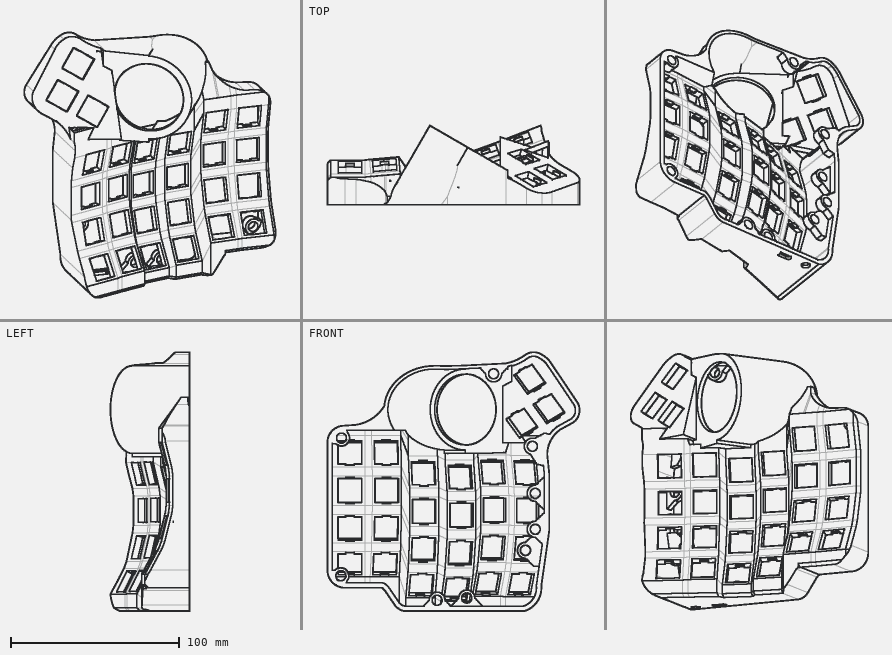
import cadquery as cq
import math


depth = 47.1
wall = 3.0
plate = 4.0
edge_chamfer = 2.0
flatness = 1e-6
overlap = 1.0
beyond = 200.0

key_window = 14.0
key_land = 17.5
clip_width = 5.0
clip_depth = 0.8
clip_skin = 1.5
row_step = 14.0
row_radius = 89.5
top_land_growth = 1.8
top_land_loss = 1.5
bottom_land_loss = 0.6
row_steps = (1, 0, -1, -2)

columns = (
    (13.4, 12.0, 71.6, 0.0, 127.0),
    (34.9, 13.2, 71.6, 5.0, 127.0),
    (56.9, 10.2, 59.2, 9.0, 110.0),
    (78.6, 10.7, 57.0, 15.0, 96.8),
    (97.9, 20.6, 60.0, 20.0, 94.0),
    (117.5, 28.0, 59.7, 21.0, 104.0),
)
low_columns = 2
slope_start = 108.5
slope_end_y = 5.0
left_bottom_z = 13.8
step_position = -0.1
right_wall_x = 131.7
grid_top_z = 107.3

socket_tilt = 30.0
socket_radius = 26.0
socket_cap = 3.0
ball_hole = 42.0
socket_length = 90.0
cap_x = 83.3
cap_z = 119.6
cap_y = depth - socket_radius * math.sin(math.radians(socket_tilt))
socket_upper = 30.0
socket_lower = 28.0
socket_wall = 2.0
socket_end_x = 107.0

thumb_keys = ((120.8, 138.9, -8.0), (132.2, 121.4, -8.0), (116.5, 113.0, 0.0))
thumb_turn = 36.0
thumb_origin = (120.0, 15.8, 138.3)
thumb_fall_x = 0.328
thumb_fall_z = 0.46
thumb_left_x = 102.5
thumb_left_wall = 1.5
thumb_bottom_z = 97.5
thumb_wall = 2.5

ears = (
    (8.4, 102.7, 0.0, 6.0, 135),
    (8.0, 21.0, 0.0, 6.0, 225),
    (65.1, 6.5, 0.0, 5.0, 270),
    (82.7, 7.8, 4.0, 5.0, 270),
    (123.3, 69.9, 4.5, 5.0, 0),
    (123.3, 48.6, 0.0, 5.0, 0),
    (117.5, 36.1, 4.7, 5.0, 0),
    (121.6, 97.8, 0.0, 5.0, 345),
    (98.6, 140.8, 0.0, 6.0, 90),
)
ear_radius = 4.8
ear_hole = 5.9
web_length = 12.0
web_flare_end = 5.0
web_half_width = 9.5

port_y = 5.6
slot_x = 95.5
slot_length = 9.7
slot_width = 3.5
jack_x = 111.4
jack_hole = 5.2
panel_x = (72.5, 118.0)
panel_y = (2.0, 10.0)
panel_depth = 1.0


def outline():
    """Closed wall outline on the base plane, X to the right and Z up."""
    return (
        cq.Workplane("XZ")
        .moveTo(0, 24.7)
        .lineTo(0, 101)
        .threePointArc((3, 107.2), (10.2, 110.1))
        .lineTo(17, 110.6)
        .threePointArc((28.1, 115.4), (34.3, 122.7))
        .threePointArc((43.6, 138.7), (60.2, 145.6))
        .lineTo(71, 145.3)
        .lineTo(105.8, 147)
        .threePointArc((112.6, 149.2), (118.0, 152.5))
        .threePointArc((122.6, 153.67), (127.2, 152.2))
        .threePointArc((130.4, 149.9), (133.0, 146.7))
        .lineTo(148.3, 123.9)
        .threePointArc((149.23, 116.5), (144.6, 111.2))
        .lineTo(137.9, 107.5)
        .threePointArc((132.4, 101), (130.5, 92.5))
        .lineTo(right_wall_x, 81.4)
        .lineTo(right_wall_x, 48)
        .lineTo(127.0, 15.2)
        .threePointArc((123.7, 4.6), (116.9, 0))
        .lineTo(46, 0)
        .threePointArc((42.7, 1.1), (39.9, 3.7))
        .lineTo(33.9, 12.5)
        .lineTo(32.4, left_bottom_z)
        .lineTo(10.9, left_bottom_z)
        .threePointArc((3, 17), (0, 24.7))
        .close()
    )


def prism(inset=0.0):
    """Outline moved inwards by inset and raised over the full depth."""
    profile = outline()
    if inset:
        profile = profile.offset2D(-inset)
    return profile.extrude(-(depth + overlap))


def box(x0, x1, y0, y1, z0, z1):
    return cq.Workplane("XY").box(x1 - x0, y1 - y0, z1 - z0, centered=False).translate((x0, y0, z0))


def key_frame(column, step):
    """Centre, sideways, upward and outward vectors of one key on the plate's outer face."""
    x, y, z, tilt, _ = column
    tilt = math.radians(tilt)
    lean = math.radians(row_step * step)
    side = cq.Vector(math.cos(tilt), math.sin(tilt), 0)
    out = cq.Vector(-math.sin(tilt), math.cos(tilt), 0)
    up = cq.Vector(0, 0, 1)
    centre = cq.Vector(x, y, z)
    centre = centre + up * (row_radius * math.sin(lean)) + out * (row_radius * (1 - math.cos(lean)))
    normal = out * math.cos(lean) - up * math.sin(lean)
    rise = up * math.cos(lean) + out * math.sin(lean)
    return centre, side, rise, normal


def column_line(index, across, bottom_z, below, bevel):
    """Roof points, top to bottom, along one line of a column.

    The line lies across * half a land from the column's middle and below under the outer face.
    """
    column = columns[index]
    half = key_land / 2
    points = []
    for step in row_steps:
        centre, side, rise, normal = key_frame(column, step)
        upper = half
        lower = half
        if step == row_steps[0]:
            upper += top_land_growth if below else -top_land_loss
        if below and step == row_steps[-1]:
            lower -= bottom_land_loss
        edge = centre + side * (across * half) - normal * below
        points.append(edge + rise * upper)
        points.append(edge - rise * lower)
    first = points[0]
    last = points[-1]
    top_z = column[4]
    if index < low_columns:
        head = [
            cq.Vector(first.x, slope_end_y, top_z),
            cq.Vector(first.x, first.y, slope_start),
        ]
    else:
        head = [
            cq.Vector(first.x, first.y, top_z),
            cq.Vector(first.x, first.y, (first.z + top_z) / 2),
        ]
    tail = [
        cq.Vector(last.x, last.y, bottom_z + edge_chamfer),
        cq.Vector(last.x, last.y - bevel, bottom_z),
        cq.Vector(last.x, last.y - bevel, bottom_z - overlap),
    ]
    return head + points + tail


def roof_grid(below, bevel):
    """All column edge lines from left to right, with margins out to the side walls."""
    lines = []
    for index in range(len(columns)):
        left_z = left_bottom_z if index < low_columns else 0
        right_z = left_bottom_z if index < low_columns - 1 else 0
        lines.append(column_line(index, -1, left_z, below, bevel))
        if left_z != right_z:
            lines.append(column_line(index, step_position, left_z, below, bevel))
            lines.append(column_line(index, 0, right_z, below, bevel))
        lines.append(column_line(index, 1, right_z, below, bevel))
    left = lines[0]
    shoulder = [cq.Vector(edge_chamfer, p.y, p.z) for p in left]
    rim = [cq.Vector(0, p.y - bevel, p.z) for p in left]
    outside = [cq.Vector(-overlap, p.y - bevel, p.z) for p in left]
    right = lines[-1]
    margin = right_wall_x + overlap - max(p.x for p in right)
    climb = margin * math.tan(math.radians(columns[-1][3]))
    far = [cq.Vector(p.x + margin, p.y + climb, p.z) for p in right]
    return [outside, rim, shoulder] + lines + [far]


def flat_face(points):
    return cq.Face.makeFromWires(cq.Wire.makePolygon(points, close=True))


def cell_face(a, b, c, d):
    """One roof cell: a single face if its corners are coplanar, otherwise a ruled surface."""
    twist = (b - a).cross(c - a).dot(d - a)
    if abs(twist) < flatness:
        return flat_face([a, b, c, d])
    return cq.Face.makeRuledSurface(cq.Edge.makeLine(a, b), cq.Edge.makeLine(d, c))


def block_under(grid):
    """Solid between a grid of roof points and the base plane."""
    faces = []
    for left, right in zip(grid, grid[1:]):
        for i in range(len(left) - 1):
            faces.append(cell_face(left[i], left[i + 1], right[i + 1], right[i]))
    rim = list(grid[0])
    rim += [line[-1] for line in grid[1:]]
    rim += list(reversed(grid[-1]))[1:]
    rim += [line[0] for line in reversed(grid[1:-1])]
    feet = [cq.Vector(p.x, 0, p.z) for p in rim]
    for i in range(len(rim)):
        j = (i + 1) % len(rim)
        faces.append(flat_face([rim[i], rim[j], feet[j], feet[i]]))
    faces.append(flat_face(feet))
    return cq.Workplane(obj=cq.Solid.makeSolid(cq.Shell.makeShell(faces)))


def socket_cylinder(radius, start, end):
    """Leaning cylinder; start and end are measured down from the cap's outer face."""
    lean = math.radians(socket_tilt)
    axis = cq.Vector(math.sin(lean), math.cos(lean), 0)
    base = cq.Vector(cap_x, cap_y, cap_z) - axis * end
    return cq.Workplane(obj=cq.Solid.makeCylinder(radius, end - start, base, axis))


def socket_roof(inset, below, end_x):
    """Block right of the socket axis under a plane parallel to the cap."""
    fall = math.tan(math.radians(socket_tilt))
    drop = below / math.cos(math.radians(socket_tilt))
    top_x = cap_x - below * math.sin(math.radians(socket_tilt))
    top_y = cap_y - drop + (cap_x - top_x) * fall
    foot_x = top_x - top_y * fall
    end_y = top_y - (end_x - top_x) * fall
    return (
        cq.Workplane("XY")
        .polyline([(foot_x, 0), (top_x, top_y), (end_x, end_y), (end_x, 0)])
        .close()
        .extrude(socket_upper + socket_lower - inset)
        .translate((0, 0, cap_z - socket_lower + inset))
        .intersect(prism(inset))
    )


thumb_normal = cq.Vector(thumb_fall_x, 1, thumb_fall_z).normalized()


def thumb_plane(x, z, tilt):
    """Frame on the thumb roof at X, Z with its sides turned like the keys."""
    x0, y0, z0 = thumb_origin
    y = y0 - thumb_fall_x * (x - x0) - thumb_fall_z * (z - z0)
    turn = math.radians(thumb_turn)
    heading = cq.Vector(math.cos(turn), 0, math.sin(turn))
    side = heading - thumb_normal * heading.dot(thumb_normal)
    return cq.Plane((x, y, z), side, thumb_normal).rotated((0, tilt, 0))


def thumb_block(inset, left_inset, below):
    """Thumb cluster region under the tilted thumb roof."""
    under = (
        cq.Workplane(thumb_plane(thumb_origin[0], thumb_origin[2], 0))
        .workplane(offset=-below)
        .rect(beyond, beyond)
        .extrude(-beyond)
    )
    region = box(thumb_left_x + left_inset, beyond, 0, depth, thumb_bottom_z + inset, beyond)
    return prism(inset).intersect(region).intersect(under)


def key_cutter(plane):
    """Key window with a clip notch on its two opposite sides, cut down from the outer face."""
    through = plate + 2 * overlap
    window = (
        cq.Workplane(plane)
        .workplane(offset=overlap)
        .rect(key_window, key_window)
        .extrude(-through)
    )
    notch = (
        cq.Workplane(plane)
        .workplane(offset=-clip_skin)
        .rect(clip_width, key_window + 2 * clip_depth)
        .extrude(-plate)
    )
    return window.union(notch)


def outer_body():
    keys = block_under(roof_grid(0, edge_chamfer)).intersect(prism())
    socket = socket_cylinder(socket_radius, 0, socket_length)
    body = keys.union(socket).union(socket_roof(0, 0, socket_end_x))
    body = body.union(thumb_block(0, 0, 0))
    return body.intersect(box(-overlap, beyond, 0, beyond, -overlap, beyond))


def cavity():
    region = prism(wall).intersect(box(0, beyond, 0, depth, 0, grid_top_z))
    keys = block_under(roof_grid(plate, 0)).intersect(region)
    socket = socket_cylinder(socket_radius - socket_wall, socket_cap, socket_length)
    beside = socket_roof(socket_wall, socket_cap, socket_end_x + thumb_wall)
    return keys.union(socket).union(beside).union(thumb_block(thumb_wall, thumb_left_wall, plate))


def ear(x, z, set_back, thickness, direction):
    """Round pad with a web that flares towards the wall."""
    pad = cq.Workplane("XZ").circle(ear_radius).extrude(-thickness)
    web_points = [
        (0, -ear_radius),
        (web_flare_end, -web_half_width),
        (web_length, -web_half_width),
        (web_length, web_half_width),
        (web_flare_end, web_half_width),
        (0, ear_radius),
    ]
    web = cq.Workplane("XZ").polyline(web_points).close().extrude(-thickness)
    shape = pad.union(web).rotate((0, 0, 0), (0, 1, 0), -direction)
    return shape.translate((x, set_back, z))


def all_ears():
    pieces = cq.Workplane("XZ")
    for x, z, set_back, thickness, direction in ears:
        pieces = pieces.union(ear(x, z, set_back, thickness, direction))
    return pieces


def ear_bores():
    """Screw holes, each from the base plane to the far side of its ear."""
    bores = cq.Workplane("XZ")
    for x, z, set_back, thickness, _ in ears:
        bore = cq.Workplane("XZ", origin=(x, 0, z)).circle(ear_hole / 2).extrude(-(set_back + thickness))
        bores = bores.union(bore)
    return bores


def cable_openings():
    panel = box(*panel_x, *panel_y, wall - panel_depth, wall + overlap)
    slot = (
        cq.Workplane("XY", origin=(slot_x, port_y, -overlap))
        .slot2D(slot_length, slot_width)
        .extrude(wall + 2 * overlap)
    )
    jack = (
        cq.Workplane("XY", origin=(jack_x, port_y, -overlap))
        .circle(jack_hole / 2)
        .extrude(wall + 2 * overlap)
    )
    return panel.union(slot).union(jack)


def window_cutters():
    """All key windows as one compound; none of them touch."""
    cutters = []
    for column in columns:
        for step in row_steps:
            centre, side, _, normal = key_frame(column, step)
            cutters.append(key_cutter(cq.Plane(centre, side, normal)).val())
    for x, z, tilt in thumb_keys:
        cutters.append(key_cutter(thumb_plane(x, z, tilt)).val())
    return cq.Workplane(obj=cq.Compound.makeCompound(cutters))


body = outer_body()
shell = body.cut(cavity()).cut(window_cutters())
shell = shell.cut(socket_cylinder(ball_hole / 2, -overlap, socket_cap + overlap))
shell = shell.cut(cable_openings())
shell = shell.union(all_ears().intersect(body)).cut(ear_bores())

result = shell